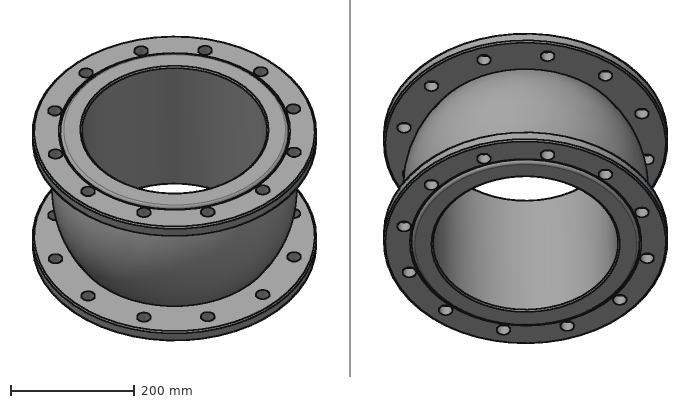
import cadquery as cq
import math

total_height = 260.0
bore_diameter = 300.0
bore_chamfer = 2.8

flange_diameter = 460.0
flange_thickness = 21.0
flange_edge_chamfer = 2.8
bolt_count = 12
bolt_hole_diameter = 22.0
bolt_circle_diameter = 400.0

collar_diameter = 370.0
collar_height = 4.0
collar_edge_radius = 5.0
groove_width = 2.8
groove_depth = 1.5

belly_diameter = 397.5
neck_diameter = 336.0

end_z = total_height / 2
flange_outer_z = end_z - collar_height
flange_inner_z = flange_outer_z - flange_thickness

bore_radius = bore_diameter / 2
flange_radius = flange_diameter / 2
neck_radius = neck_diameter / 2
collar_radius = collar_diameter / 2


def revolve_about_z(profile):
    """Turn a closed profile in the XZ plane fully around the Z axis."""
    return profile.revolve(360, (0, 0, 0), (0, 1, 0))


def make_bellows():
    """Barrel between the two flanges, with a single-arc bulge and a straight bore."""
    return revolve_about_z(
        cq.Workplane("XZ")
        .moveTo(bore_radius, -flange_inner_z)
        .lineTo(neck_radius, -flange_inner_z)
        .threePointArc((belly_diameter / 2, 0), (neck_radius, flange_inner_z))
        .lineTo(bore_radius, flange_inner_z)
        .close()
    )


def make_end_ring():
    """Upper flange together with its groove, collar and bore."""
    edge_radius = flange_radius - flange_edge_chamfer
    arc_center_r = collar_radius - collar_edge_radius
    arc_center_z = end_z - collar_edge_radius
    arc_mid_offset = collar_edge_radius * math.sqrt(0.5)
    return revolve_about_z(
        cq.Workplane("XZ")
        .moveTo(bore_radius, flange_inner_z)
        .lineTo(edge_radius, flange_inner_z)
        .lineTo(flange_radius, flange_inner_z + flange_edge_chamfer)
        .lineTo(flange_radius, flange_outer_z - flange_edge_chamfer)
        .lineTo(edge_radius, flange_outer_z)
        .lineTo(collar_radius + groove_width, flange_outer_z)
        .lineTo(collar_radius, flange_outer_z - groove_depth)
        .lineTo(collar_radius, arc_center_z)
        .threePointArc(
            (arc_center_r + arc_mid_offset, arc_center_z + arc_mid_offset),
            (arc_center_r, end_z),
        )
        .lineTo(bore_radius + bore_chamfer, end_z)
        .lineTo(bore_radius, end_z - bore_chamfer)
        .close()
    )


def make_bolt_holes():
    """Pins for one flange's bolt circle, straddling the X and Y axes."""
    half_pitch_angle = 360 / bolt_count / 2
    return (
        cq.Workplane("XY")
        .workplane(offset=flange_inner_z)
        .polarArray(bolt_circle_diameter / 2, half_pitch_angle, 360, bolt_count)
        .circle(bolt_hole_diameter / 2)
        .extrude(flange_thickness)
    )


end_ring = make_end_ring().cut(make_bolt_holes())
result = make_bellows().union(end_ring).union(end_ring.mirror("XY")).clean()